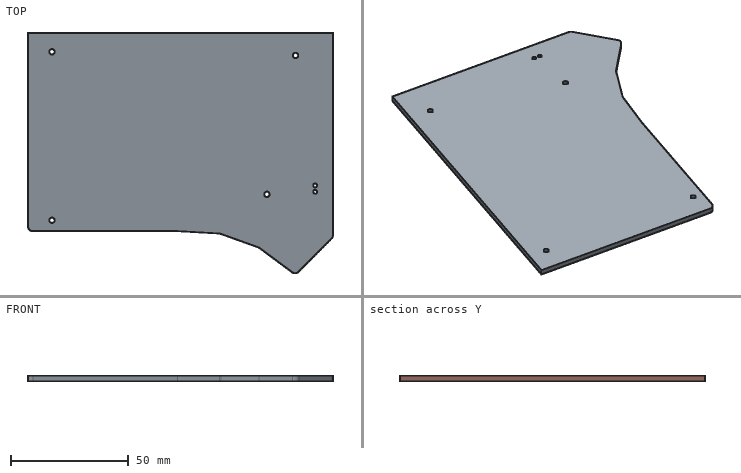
import cadquery as cq

length = 129.5
width = 102.1
thickness = 2.5

lower_edge_y = 17.9
bend_points = [(63.5, lower_edge_y), (81.5, 16.8), (98.1, 10.9)]
tip = (113.6, -0.6)
right_edge_bottom_y = 15.4
corner_radius = 2.1

mounting_hole_diameter = 2.2
mounting_hole_centers = [(10.2, 94.0), (113.6, 92.5), (10.2, 22.5), (101.5, 33.5)]
pin_hole_diameter = 1.5
pin_hole_x = 121.9
pin_hole_y = 34.6
pin_hole_pitch = 2.7
pin_hole_centers = [(pin_hole_x, pin_hole_y + i * pin_hole_pitch) for i in range(2)]


def make_plate():
    """Flat plate with its lower left, first steep bend, tip and lower right corners rounded."""
    outline = [
        (0, width),
        (0, lower_edge_y),
        *bend_points,
        tip,
        (length, right_edge_bottom_y),
        (length, width),
    ]
    plate = cq.Workplane("XY").polyline(outline).close().extrude(thickness)
    for x, y in [(0, lower_edge_y), bend_points[1], tip, (length, right_edge_bottom_y)]:
        corner_edge = cq.selectors.NearestToPointSelector((x, y, thickness / 2))
        plate = plate.edges("|Z").edges(corner_edge).fillet(corner_radius)
    return plate


def make_holes(centers, diameter):
    """Cylinders that pass through the full plate thickness."""
    return cq.Workplane("XY").pushPoints(centers).circle(diameter / 2).extrude(thickness)


result = (
    make_plate()
    .cut(make_holes(mounting_hole_centers, mounting_hole_diameter))
    .cut(make_holes(pin_hole_centers, pin_hole_diameter))
)